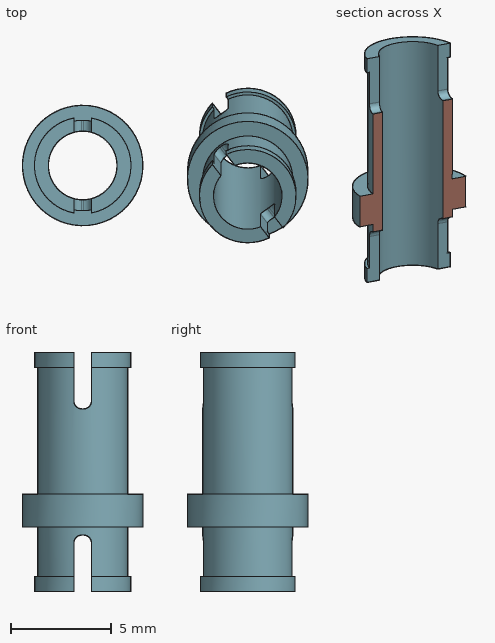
import cadquery as cq

total_height = 11.89
body_diameter = 4.5
bore_diameter = 3.4
collar_diameter = 6.0
collar_base = 3.2
collar_height = 1.65
lip_diameter = 4.8
lip_height = 0.75
slot_width = 0.86
slot_depth = 2.8
slot_corner_radius = 0.38

slot_length = 2 * collar_diameter


def disc(diameter, base, height):
    """Solid cylinder on the Z axis with its lower face at the given height."""
    return cq.Workplane("XY").workplane(offset=base).circle(diameter / 2).extrude(height)


def sleeve():
    """Bored tube with a collar and a retaining lip at each end."""
    tube = disc(body_diameter, 0, total_height)
    tube = tube.union(disc(collar_diameter, collar_base, collar_height))
    for lip_base in (0, total_height - lip_height):
        tube = tube.union(disc(lip_diameter, lip_base, lip_height))
    return tube.cut(disc(bore_diameter, 0, total_height))


def end_slot(end_height):
    """Round-cornered bar along Y, centred on an end face so that half of it cuts the slot."""
    return (
        cq.Workplane("XY")
        .box(slot_width, slot_length, 2 * slot_depth)
        .edges("|Y")
        .fillet(slot_corner_radius)
        .translate((0, 0, end_height))
    )


result = sleeve()
for end_height in (0, total_height):
    result = result.cut(end_slot(end_height))